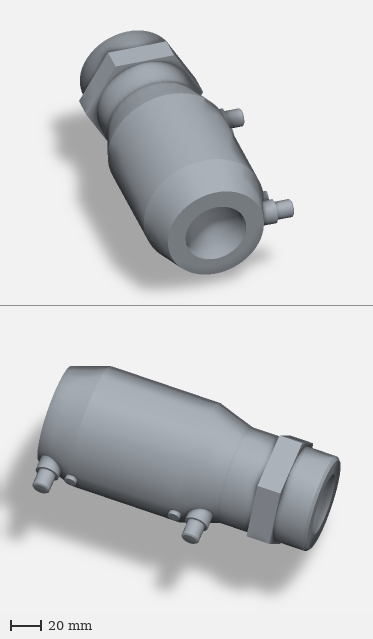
import cadquery as cq

length = 189.0
hex_start = 22.9
hex_end = 39.0
neck_end = 61.6
taper_length = 25.5
body_start = neck_end + taper_length
body_end = length - taper_length

spigot_radius = 32.9
spigot_chamfer = 1.9
neck_radius = 33.3
body_diameter = 83.0
body_radius = body_diameter / 2
bore_diameter = 42.0
hex_across_flats = 70.0
hex_turn = 30

terminal_stations = (73.0, 178.0)
collar_diameter = 16.0
collar_top = 43.8
terminal_diameter = 12.1
overall_depth = 97.5
terminal_top = overall_depth - body_radius
terminal_chamfer = 1.0
indicator_inset = 1.7
indicator_stations = (body_start + indicator_inset, body_end - indicator_inset)
indicator_diameter = 8.3
indicator_top = 44.2
stud_root = 26.5


def turned_body():
    """Revolved outer shape with two straight tapers."""
    return (
        cq.Workplane("XY")
        .lineTo(0, spigot_radius - spigot_chamfer)
        .lineTo(spigot_chamfer, spigot_radius)
        .lineTo(hex_start, spigot_radius)
        .lineTo(hex_start, neck_radius)
        .lineTo(neck_end, neck_radius)
        .lineTo(body_start, body_radius)
        .lineTo(body_end, body_radius)
        .lineTo(length, neck_radius)
        .lineTo(length, 0)
        .close()
        .revolve(360, (0, 0, 0), (1, 0, 0))
    )


def hex_collar():
    """Hexagon with two flats facing up and down."""
    return (
        cq.Workplane("YZ", origin=(hex_start, 0, 0))
        .transformed(rotate=(0, 0, hex_turn))
        .polygon(6, hex_across_flats, circumscribed=True)
        .extrude(hex_end - hex_start)
    )


def stud(station, diameter, top):
    """Round stud rising from the wall to the given height along Y."""
    return (
        cq.Workplane("XZ", origin=(station, top, 0))
        .circle(diameter / 2)
        .extrude(top - stud_root)
    )


result = turned_body().union(hex_collar())

for station in terminal_stations:
    terminal = stud(station, terminal_diameter, terminal_top).faces(">Y").chamfer(terminal_chamfer)
    result = result.union(stud(station, collar_diameter, collar_top)).union(terminal)

for station in indicator_stations:
    result = result.union(stud(station, indicator_diameter, indicator_top))

bore = cq.Workplane("YZ").circle(bore_diameter / 2).extrude(length)
result = result.cut(bore)